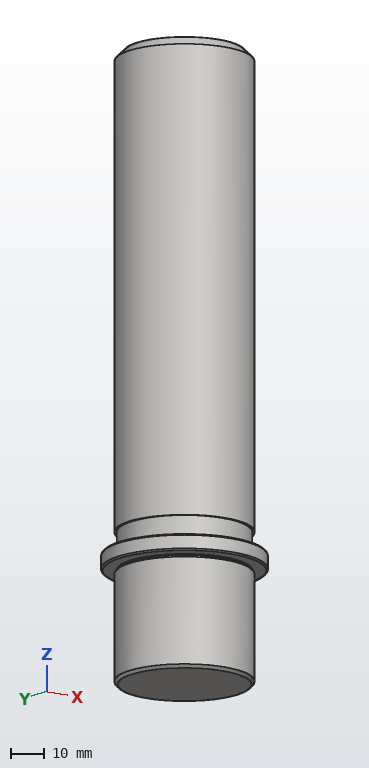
import cadquery as cq

total_length = 195.0
shaft_diameter = 42.0
neck_diameter = 40.5
collar_diameter = 50.0

lower_body_top = 34.7
collar_bottom = 35.1
collar_thickness = 5.0
neck_top = 47.0

tip_chamfer = 3.0
base_chamfer = 1.0
shoulder_chamfer = (shaft_diameter - neck_diameter) / 2
collar_chamfer = 0.49


def cylinder(diameter, bottom, top):
    """Solid round section on the Z axis between two heights."""
    return cq.Workplane("XY").workplane(offset=bottom).circle(diameter / 2).extrude(top - bottom)


lower_body = cylinder(shaft_diameter, 0, lower_body_top)
lower_body = lower_body.faces("<Z").chamfer(base_chamfer).faces(">Z").chamfer(shoulder_chamfer)

neck = cylinder(neck_diameter, lower_body_top, neck_top)

collar = cylinder(collar_diameter, collar_bottom, collar_bottom + collar_thickness)
collar = collar.faces("<Z or >Z").chamfer(collar_chamfer)

shaft = cylinder(shaft_diameter, neck_top, total_length).faces(">Z").chamfer(tip_chamfer)

result = lower_body.union(neck).union(collar).union(shaft)